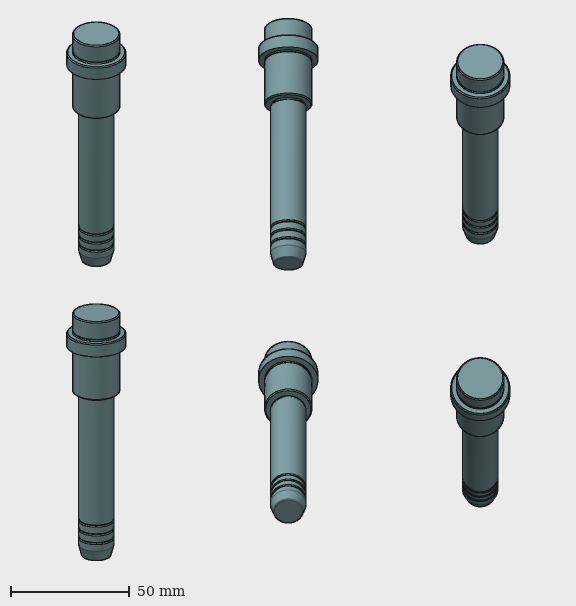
import cadquery as cq
import math

total_length = 111.0
flange_diameter = 25.0
body_diameter = 20.0
shank_diameter = 15.0

head_height = 9.0
flange_height = 6.0
body_height = 21.0
neck_height = 1.0

edge_chamfer = 0.5
neck_diameter = 14.0

groove_width = 1.0
groove_depth = 0.4

groove_count = 3
groove_pitch = 4.0
first_groove_bottom = 8.0

lead_in_height = 5.0
lead_in_angle = 15.0
tip_radius = 0.5

flange_top = total_length - head_height
flange_bottom = flange_top - flange_height
body_bottom = flange_bottom - body_height
shank_top = body_bottom - neck_height


def cylinder(diameter, bottom, top):
    """Solid cylinder on the Z axis between two heights."""
    return cq.Workplane("XY").workplane(offset=bottom).circle(diameter / 2).extrude(top - bottom)


def v_groove(diameter, bottom):
    """Ring that cuts a symmetrical V-groove into a cylinder of the given diameter."""
    mouth_radius = diameter / 2
    profile = (
        cq.Workplane("XZ")
        .moveTo(mouth_radius, bottom)
        .lineTo(mouth_radius - groove_depth, bottom + groove_width / 2)
        .lineTo(mouth_radius, bottom + groove_width)
        .close()
    )
    return profile.revolve(360, (0, 0, 0), (0, 1, 0))


def make_shouldered_head():
    """Head and body of one diameter, with the flange between them and a relief on each side of it."""
    core = cylinder(body_diameter, body_bottom, total_length).edges().chamfer(edge_chamfer)
    for relief_bottom in (flange_top, flange_bottom - groove_width):
        core = core.cut(v_groove(body_diameter, relief_bottom))
    flange = cylinder(flange_diameter, flange_bottom, flange_top).faces(">Z").edges().chamfer(edge_chamfer)
    return core.union(flange)


def make_shank():
    """Grooved shank with a tapered, rounded tip and a neck that meets the body."""
    lead_in_inset = lead_in_height * math.tan(math.radians(lead_in_angle))
    shank = cylinder(shank_diameter, 0, shank_top)
    shank = shank.faces("<Z").chamfer(lead_in_height, lead_in_inset)
    shank = shank.faces("<Z").edges().fillet(tip_radius)
    for index in range(groove_count):
        groove_bottom = first_groove_bottom + index * groove_pitch
        shank = shank.cut(v_groove(shank_diameter, groove_bottom))
    return shank.union(cylinder(neck_diameter, shank_top, body_bottom))


result = make_shouldered_head().union(make_shank())